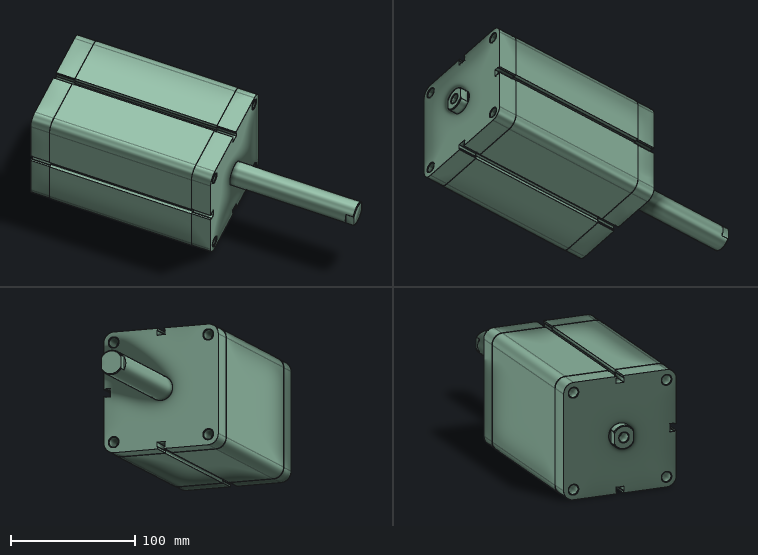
import cadquery as cq
import math

overall_length = 272.5
rear_stub = 7.5
cap_thickness = 16.5
barrel_length = 124.0

barrel_side = 100.0
cap_side = 99.5
barrel_corner_radius = 9.0
cap_corner_radius = barrel_corner_radius - (barrel_side - cap_side) / 2
bolt_spacing = 82.0
bolt_hole_diameter = 8.2
bolt_hole_chamfer = 0.5

slot_mouth_width = 5.7
slot_depth = 6.0
cap_slot_lip = 2.2
cap_slot_inner_width = 6.8
barrel_slot_lip = 3.0
barrel_slot_inner_width = 5.5
slot_angles = (0, 90, 180)

rod_diameter = 20.2
flat_width = 17.0
flat_length = 6.8
rod_end_chamfer = 0.68
rod_hole_diameter = 8.2
rod_hole_chamfer = 0.5
rod_hole_depth = 13.5
drill_point_angle = 118

rear_cap_x = rear_stub
barrel_x = rear_cap_x + cap_thickness
front_cap_x = barrel_x + barrel_length
front_face_x = front_cap_x + cap_thickness


def round_bar(start_x, length, diameter):
    """Solid cylinder on the X axis."""
    return cq.Workplane("YZ", origin=(start_x, 0, 0)).circle(diameter / 2).extrude(length)


def slot_cutter(start_x, length, lip, inner_width):
    """Slot open towards +Z, whose width changes below the lip."""
    inner_depth = slot_depth - lip
    inner = cq.Workplane("XY").box(length, inner_width, inner_depth, centered=(False, True, False))
    mouth = cq.Workplane("XY").box(length, slot_mouth_width, lip, centered=(False, True, False))
    floor_z = barrel_side / 2 - slot_depth
    return inner.union(mouth.translate((0, 0, inner_depth))).translate((start_x, 0, floor_z))


def square_section(start_x, length, side, corner_radius, slot_lip, slot_inner_width):
    """Rounded square block with four bolt holes, a rod bore and the sensor slots."""
    block = (
        cq.Workplane("YZ", origin=(start_x, 0, 0))
        .rect(side, side)
        .extrude(length)
        .edges("|X")
        .fillet(corner_radius)
    )
    bolt_holes = (
        cq.Workplane("YZ", origin=(start_x, 0, 0))
        .rect(bolt_spacing, bolt_spacing, forConstruction=True)
        .vertices()
        .circle(bolt_hole_diameter / 2)
        .extrude(length)
    )
    block = block.cut(bolt_holes)
    slot = slot_cutter(start_x, length, slot_lip, slot_inner_width)
    for angle in slot_angles:
        block = block.cut(slot.rotate((0, 0, 0), (1, 0, 0), angle))
    return block.cut(round_bar(start_x, length, rod_diameter))


def countersink(x, inward, diameter, chamfer):
    """Conical cutter on the X axis that breaks the rim of a hole at x; inward is +1 or -1 along X."""
    cone = cq.Solid.makeCone(
        diameter / 2 + chamfer, diameter / 2, chamfer, cq.Vector(x, 0, 0), cq.Vector(inward, 0, 0)
    )
    return cq.Workplane(cone)


def end_cap(start_x, outer_x, inward):
    """End cap whose bolt holes are chamfered on its outer face."""
    cap = square_section(
        start_x, cap_thickness, cap_side, cap_corner_radius, cap_slot_lip, cap_slot_inner_width
    )
    rim = countersink(outer_x, inward, bolt_hole_diameter, bolt_hole_chamfer)
    for y in (-bolt_spacing / 2, bolt_spacing / 2):
        for z in (-bolt_spacing / 2, bolt_spacing / 2):
            cap = cap.cut(rim.translate((0, y, z)))
    return cap


def drilled_hole():
    """Chamfered hole along X from the rear end of the rod, closed by a drill cone."""
    radius = rod_hole_diameter / 2
    cone_length = radius / math.tan(math.radians(drill_point_angle / 2))
    tip = cq.Solid.makeCone(radius, 0, cone_length, cq.Vector(rod_hole_depth, 0, 0), cq.Vector(1, 0, 0))
    rim = countersink(0, 1, rod_hole_diameter, rod_hole_chamfer)
    return round_bar(0, rod_hole_depth, rod_hole_diameter).union(cq.Workplane(tip)).union(rim)


def flat_cutter(end_x, side):
    """Block centred on a rod end that cuts a wrench flat; side is +1 or -1 along Y."""
    block = cq.Workplane("XY").box(2 * flat_length, rod_diameter, rod_diameter)
    return block.translate((end_x, side * (flat_width + rod_diameter) / 2, 0))


def make_rod():
    """Through rod with wrench flats at both ends and a drilled hole in the rear end."""
    rod = round_bar(0, overall_length, rod_diameter)
    rod = rod.faces("<X or >X").chamfer(rod_end_chamfer)
    for end_x in (0, overall_length):
        for side in (-1, 1):
            rod = rod.cut(flat_cutter(end_x, side))
    return rod.cut(drilled_hole())


rear_cap = end_cap(rear_cap_x, rear_cap_x, 1)
barrel = square_section(
    barrel_x, barrel_length, barrel_side, barrel_corner_radius, barrel_slot_lip, barrel_slot_inner_width
)
front_cap = end_cap(front_cap_x, front_face_x, -1)
rod = make_rod()

result = cq.Compound.makeCompound([rear_cap.val(), barrel.val(), front_cap.val(), rod.val()])